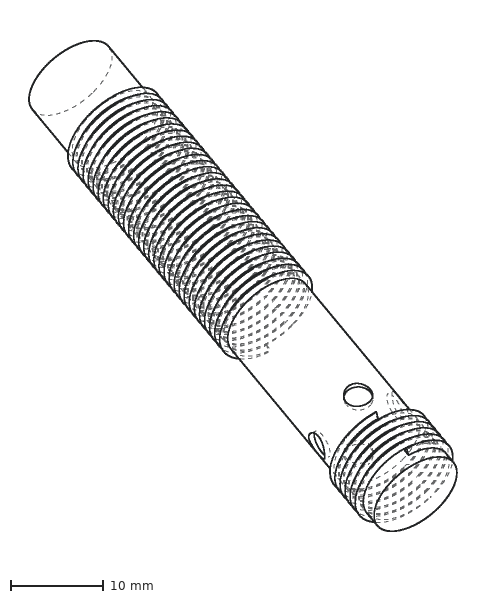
import cadquery as cq

length = 68.3
body_diameter = 10.7
body_radius = body_diameter / 2
thread_radius = 6.15

long_thread_start = 8.4
long_thread_end = 39.2
long_thread_turns = 30.75
long_thread_angle = -90
short_thread_start = 60.5
short_thread_end = 66.5
short_thread_turns = 6
short_thread_angle = 0
ridge_width_ratio = 0.94
ridge_embed = 0.15

window_x = 56.95
window_diameter = 3.15
window_depth = 0.7
window_count = 4


def make_thread(start, end, turns, start_angle):
    """Right-handed V ridge around the X axis; start_angle turns its start away from +Z."""
    rise = end - start
    pitch = rise / turns
    half_width = pitch * ridge_width_ratio / 2
    foot_radius = body_radius - ridge_embed
    helix = cq.Wire.makeHelix(pitch, rise, body_radius)
    ridge = (
        cq.Workplane("XZ")
        .polyline([
            (foot_radius, -half_width),
            (thread_radius, 0),
            (foot_radius, half_width),
        ])
        .close()
        .sweep(cq.Workplane(helix), isFrenet=True)
    )
    return (
        ridge.rotate((0, 0, 0), (0, 1, 0), 90)
        .rotate((0, 0, 0), (1, 0, 0), 180 + start_angle)
        .translate((start, 0, 0))
    )


def make_window_cutter(angle):
    """Radial cylinder reaching from the window floor out past the surface."""
    floor_radius = body_radius - window_depth
    return (
        cq.Workplane("XY", origin=(window_x, 0, floor_radius))
        .circle(window_diameter / 2)
        .extrude(thread_radius - floor_radius)
        .rotate((0, 0, 0), (1, 0, 0), angle)
    )


result = cq.Workplane("YZ").circle(body_radius).extrude(length)

for index in range(window_count):
    result = result.cut(make_window_cutter(index * 360 / window_count))

result = result.union(
    make_thread(long_thread_start, long_thread_end, long_thread_turns, long_thread_angle)
)
result = result.union(
    make_thread(short_thread_start, short_thread_end, short_thread_turns, short_thread_angle)
)